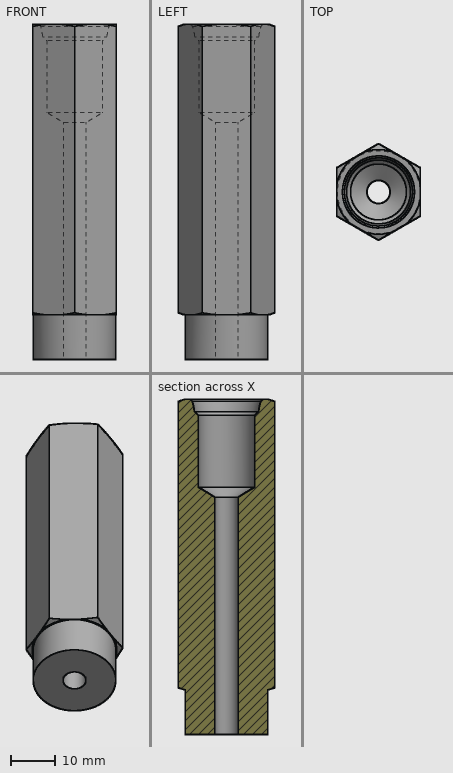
import cadquery as cq
import math

total_height = 76.2
across_flats = 19.05
spigot_diameter = 18.8
spigot_length = 10.16
hex_height = total_height - spigot_length
hex_sides = 6
half_side_angle = 180 / hex_sides
across_corners = across_flats / math.cos(math.radians(half_side_angle))

corner_circle_diameter = 19.25
corner_relief_angle = 20

mouth_diameter = 16.4
seat_diameter = 15.5
seat_floor_diameter = 14.5
seat_floor_depth = 2.8
bore_diameter = 12.7
bore_depth = 20.0
drill_point_angle = 118
passage_diameter = 5.2


def make_hex_body():
    """Hexagon with corners on the Y axis, trimmed by a cone at each end."""
    hexagon = (
        cq.Workplane("XY", origin=(0, 0, spigot_length))
        .polygon(hex_sides, across_corners)
        .extrude(hex_height)
        .rotate((0, 0, 0), (0, 0, 1), half_side_angle)
    )
    rim_radius = corner_circle_diameter / 2
    corner_radius = across_corners / 2
    relief_drop = (corner_radius - rim_radius) * math.tan(math.radians(corner_relief_angle))
    envelope = (
        cq.Workplane("XZ")
        .moveTo(0, spigot_length)
        .lineTo(rim_radius, spigot_length)
        .lineTo(corner_radius, spigot_length + relief_drop)
        .lineTo(corner_radius, total_height - relief_drop)
        .lineTo(rim_radius, total_height)
        .lineTo(0, total_height)
        .close()
        .revolve(360, (0, 0, 0), (0, 1, 0))
    )
    return hexagon.intersect(envelope)


def make_spigot():
    return cq.Workplane("XY").circle(spigot_diameter / 2).extrude(spigot_length)


def make_port():
    """Revolved cavity: mouth chamfer, tapered seat, bore, drill point and passage."""
    mouth_radius = mouth_diameter / 2
    seat_radius = seat_diameter / 2
    seat_floor_radius = seat_floor_diameter / 2
    bore_radius = bore_diameter / 2
    passage_radius = passage_diameter / 2

    seat_top = total_height - (mouth_radius - seat_radius)
    seat_floor = total_height - seat_floor_depth
    bore_top = seat_floor - (seat_floor_radius - bore_radius)
    bore_bottom = total_height - bore_depth
    point_height = (bore_radius - passage_radius) / math.tan(math.radians(drill_point_angle / 2))

    return (
        cq.Workplane("XZ")
        .moveTo(0, total_height)
        .lineTo(mouth_radius, total_height)
        .lineTo(seat_radius, seat_top)
        .lineTo(seat_floor_radius, seat_floor)
        .lineTo(bore_radius, bore_top)
        .lineTo(bore_radius, bore_bottom)
        .lineTo(passage_radius, bore_bottom - point_height)
        .lineTo(passage_radius, 0)
        .lineTo(0, 0)
        .close()
        .revolve(360, (0, 0, 0), (0, 1, 0))
    )


result = make_hex_body().union(make_spigot()).cut(make_port())